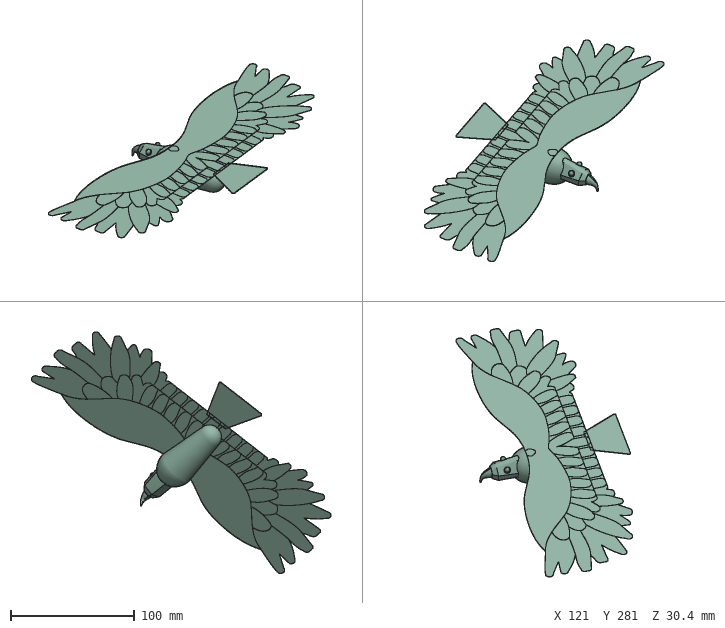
import cadquery as cq


CHEST_RADIUS = 15.2
CHEST_LENGTH = 16.8
RUMP_RADIUS = 10.0
RUMP_X = 39.6

WING_TOP = 15.21
LAYER_STEP = 0.1
BASE_THICKNESS = 0.16
LOW_FEATHER, HIGH_FEATHER, LOW_COVERT, HIGH_COVERT, FOREARM = range(5)
WING_BOTTOM = WING_TOP - BASE_THICKNESS - FOREARM * LAYER_STEP

COVERED_ROOT_X = 14.0
OUTER_ROW_EDGE_X = 50.0
OUTER_ROW_ROOT_X = 20.0
OUTER_ROW_PITCH = 12.05
OUTER_FEATHER_HALF_WIDTH = 4.9
OUTER_TIP_CORNER_X = 45.6
OUTER_TIP_CORNER_INSET = 2.4
OUTER_TIP_BEND_X = 48.4
OUTER_TIP_BEND_INSET = 0.8
OUTER_ROW_HALF_SPAN = 54.4
OUTER_FEATHERS_PER_WING = 4
INNER_ROW_EDGE_X = 38.3
INNER_ROW_PITCH = 12.47
INNER_FEATHERS_PER_WING = 5

TAIL_FRONT_X = 47.7
TAIL_END_X = 78.0
TAIL_FRONT_HALF_WIDTH = 10.3
TAIL_END_HALF_WIDTH = 23.9
TAIL_THICKNESS = 0.6
TAIL_CORNER_RADIUS = 1.2

HEAD_SECTIONS = [
    (-9.0, -9.0, 12.4, 2.8, 11.6, 9.7, 3.1, -0.8, -10.5),
    (-16.3, -12.2, 11.6, 2.7, 10.9, 9.2, 3.1, -1.4, -9.2),
    (-29.3, -29.3, 7.6, 2.5, 7.0, 8.1, 3.1, -2.1, -7.2),
    (-33.5, -33.5, 5.7, 1.8, 5.1, 4.8, 2.4, -2.1, -4.8),
]
BEAK_SECTIONS = [
    (-33.4, 5.3, -33.4, -3.8, 4.0),
    (-38.0, 2.5, -37.0, -3.8, 2.9),
    (-41.8, -1.9, -39.6, -4.0, 1.6),
    (-42.9, -5.6, -40.7, -5.8, 0.9),
    (-42.7, -8.9, -42.0, -8.9, 0.3),
]
EYE_CENTRE = (-21.5, 6.2, 6.4)
EYE_RADIUS = 2.1
SOCKET_CENTRE = (-21.5, 7.1, 7.0)
SOCKET_RADIUS = 3.1


def plate(runs, layer):
    """Flat plate bounded by runs of points: 2 points make a line, 3 an arc, more a curve."""
    outline = cq.Workplane("XY", origin=(0, 0, WING_BOTTOM)).moveTo(*runs[0][0])
    for run in runs:
        if len(run) == 2:
            outline = outline.lineTo(*run[1])
        elif len(run) == 3:
            outline = outline.threePointArc(run[1], run[2])
        else:
            outline = outline.spline(run[1:], includeCurrent=True)
    return outline.close().extrude(BASE_THICKNESS + layer * LAYER_STEP).val()


def shifted(run, dy):
    """The same run of points moved along Y."""
    return [(x, y + dy) for x, y in run]


def forearm():
    """Smooth front of one wing, from the body's centre line to the wing tip."""
    leading = [(-3.9, 0), (-3.9, 4.5), (-7.3, 22.4), (-18.4, 46.9), (-22.6, 65.7),
               (-23.5, 79.8), (-22.2, 96.7), (-18.2, 110.4)]
    trailing = [(-18.2, 110.4), (-8, 91.5), (4.4, 78.8), (9.6, 73.2), (15.7, 62.9), (20.1, 50.2),
                (22.1, 37.5), (21.6, 27.1), (20.1, 16.8), (17.6, 7.4), (15.8, 2.6), (15.2, 0)]
    return plate([leading, trailing], FOREARM)


def primaries():
    """The long finger feathers of one wing tip, from the leading edge backwards."""
    first_pair = plate([
        [(-16, 100), (-18.3, 110.4)],
        [(-18.3, 110.4), (-20.3, 117), (-22.6, 124), (-25.2, 135.8)],
        [(-25.2, 135.8), (-21.9, 138.6), (-18.6, 135.8)],
        [(-18.6, 135.8), (-11.2, 124.2)],
        [(-11.2, 124.2), (-12.5, 136.2)],
        [(-12.5, 136.2), (-9.2, 138.6), (-6.2, 136.7)],
        [(-6.2, 136.7), (0.2, 128.2), (3, 123.1), (6, 112)],
        [(6, 112), (7, 72)],
        [(7, 72), (-6, 78)],
    ], LOW_FEATHER)
    longest = plate([
        [(6.8, 78), (4.4, 101.9), (4.2, 120.2), (3.6, 125), (4.4, 137.2)],
        [(4.4, 137.2), (5, 139.5), (6.8, 140.52)],
        [(6.8, 140.52), (10.8, 140.52)],
        [(10.8, 140.52), (12.2, 139.7), (13, 137.6)],
        [(13, 137.6), (15.2, 128.7), (17.1, 117.4), (15.7, 98.6), (14, 78)],
    ], HIGH_FEATHER)
    second_pair = plate([
        [(12, 110), (16.2, 125.4)],
        [(16.2, 125.4), (18.1, 129.6), (19.3, 132.8), (22.3, 134.5)],
        [(22.3, 134.5), (26.1, 134.5)],
        [(26.1, 134.5), (27.9, 133.7), (28.4, 132)],
        [(28.4, 132), (27.7, 115.5)],
        [(27.7, 115.5), (32.2, 121.7), (40.2, 129.6)],
        [(40.2, 129.6), (44, 130.3), (45.2, 126.2)],
        [(45.2, 126.2), (43.9, 120.2), (41.1, 109.4), (38, 100)],
        [(38, 100), (18, 75)],
    ], LOW_FEATHER)
    third = plate([
        [(18, 84), (20.9, 89.2), (28.4, 98.6), (39.7, 108.5), (49.1, 114.1)],
        [(49.1, 114.1), (53.4, 114.6), (54.6, 111.2)],
        [(54.6, 111.2), (50.5, 102.4), (47.7, 96.7), (41.1, 88.7), (30.8, 79.8), (25, 74)],
    ], HIGH_FEATHER)
    third_pair = plate([
        [(40, 96), (49.1, 99.1)],
        [(49.1, 99.1), (54.7, 99.7)],
        [(54.7, 99.7), (56.6, 98.9), (56.9, 96.7)],
        [(56.9, 96.7), (54.3, 92), (51, 87.1)],
        [(51, 87.1), (54.7, 88.9), (59.5, 89.4)],
        [(59.5, 89.4), (61.8, 86.5), (60.9, 82.6)],
        [(60.9, 82.6), (52.7, 75.6)],
        [(52.7, 75.6), (30, 60)],
        [(30, 60), (24, 76)],
    ], LOW_FEATHER)
    fourth = plate([
        [(30, 71.5), (37.3, 73.4), (47.2, 75.1), (53.5, 75.4), (56.8, 74.6), (57.8, 73)],
        [(57.8, 73), (57.8, 70.6)],
        [(57.8, 70.6), (51, 65.7), (43.5, 61.8), (38.3, 60.5), (34, 60)],
    ], HIGH_FEATHER)
    last = plate([
        [(34, 66), (51.5, 65.7)],
        [(51.5, 65.7), (53.6, 62.1), (52.4, 58.2)],
        [(52.4, 58.2), (48.4, 56.3)],
        [(48.4, 56.3), (OUTER_ROW_EDGE_X, OUTER_ROW_HALF_SPAN)],
        [(OUTER_ROW_EDGE_X, OUTER_ROW_HALF_SPAN), (34, 50)],
    ], LOW_FEATHER)
    return [first_pair, longest, second_pair, third, third_pair, fourth, last]


def coverts():
    """The short feathers that cover the roots of the primaries."""
    first = plate([
        [(-8, 88), (-7.3, 92), (-5.5, 97.7), (-3.6, 100.3), (0.7, 102.2), (4.9, 100)],
        [(4.9, 100), (7.2, 90.1), (6.8, 77.9), (5, 72)],
    ], HIGH_COVERT)
    second = plate([
        [(5, 82), (8.2, 90.1), (11.9, 93.9), (15.7, 95.6), (19.5, 93.9), (21.6, 90.1)],
        [(21.6, 90.1), (20.4, 84.5), (20.6, 80)],
        [(20.6, 80), (6, 70)],
    ], LOW_COVERT)
    third = plate([
        [(8, 70), (10.1, 73.7), (13.8, 78.4), (20.9, 83.7), (26.1, 86.4)],
        [(26.1, 86.4), (30.1, 84.6), (30.8, 80.7)],
        [(30.8, 80.7), (25.6, 71.3), (16.2, 63.6), (13, 61)],
    ], HIGH_COVERT)
    fourth = plate([
        [(24, 76), (31.2, 77.8)],
        [(31.2, 77.8), (34.5, 78.7), (37.3, 76.4), (36.9, 72.7)],
        [(36.9, 72.7), (33, 67)],
        [(33, 67), (14, 60)],
    ], LOW_COVERT)
    return [first, second, third, fourth]


def inner_row():
    """Slanted feathers on the plate nearer the forearm; the last one ends the plate."""
    tip = [(INNER_ROW_EDGE_X, 60.5), (INNER_ROW_EDGE_X, 55.3)]
    upper = [(COVERED_ROOT_X, 54.2), (18.1, 57.2), (22.8, 59.8), (30.3, 62.4), (35.9, 62.4), tip[0]]
    lower = [tip[1], (33.1, 53), (27.5, 50.8), (20.9, 50.3), (COVERED_ROOT_X, 50)]
    last_shift = -(INNER_FEATHERS_PER_WING - 1) * INNER_ROW_PITCH
    last_lower = shifted(lower[:3], last_shift) + [(21.3, 0)]
    backing = plate([
        [(COVERED_ROOT_X, 68), (33, 66.9)],
        [(33, 66.9), (35.9, 66.4), (INNER_ROW_EDGE_X, 64.3)],
        [(INNER_ROW_EDGE_X, 64.3), last_lower[0]],
        last_lower,
        [last_lower[-1], (COVERED_ROOT_X, 0)],
    ], LOW_COVERT)
    feathers = [backing]
    for number in range(INNER_FEATHERS_PER_WING - 1):
        dy = -number * INNER_ROW_PITCH
        feathers.append(plate([shifted(run, dy) for run in (upper, tip, lower)], HIGH_COVERT))
    last_runs = [shifted(upper, last_shift), shifted(tip, last_shift), last_lower]
    last_runs.append([last_lower[-1], (COVERED_ROOT_X, 0)])
    feathers.append(plate(last_runs, HIGH_COVERT))
    return feathers


def mirrored(plates):
    return plates + [piece.mirror("XZ") for piece in plates]


def outer_row():
    """Straight feathers on the rearmost plate, which joins the two wings."""
    half_span = OUTER_ROW_HALF_SPAN
    backing = plate([
        [(COVERED_ROOT_X, -half_span), (OUTER_ROW_EDGE_X, -half_span)],
        [(OUTER_ROW_EDGE_X, -half_span), (OUTER_ROW_EDGE_X, half_span)],
        [(OUTER_ROW_EDGE_X, half_span), (COVERED_ROOT_X, half_span)],
    ], LOW_FEATHER)
    feathers = [backing]
    half = OUTER_FEATHER_HALF_WIDTH
    tip_half = half - OUTER_TIP_CORNER_INSET
    bend_half = half - OUTER_TIP_BEND_INSET
    upper_corner = [(OUTER_TIP_CORNER_X, half), (OUTER_TIP_BEND_X, bend_half), (OUTER_ROW_EDGE_X, tip_half)]
    lower_corner = [(x, -y) for x, y in reversed(upper_corner)]
    for number in range(-OUTER_FEATHERS_PER_WING, OUTER_FEATHERS_PER_WING + 1):
        runs = [
            [(OUTER_ROW_ROOT_X, half), (OUTER_TIP_CORNER_X, half)],
            upper_corner,
            [(OUTER_ROW_EDGE_X, tip_half), (OUTER_ROW_EDGE_X, -tip_half)],
            lower_corner,
            [(OUTER_TIP_CORNER_X, -half), (OUTER_ROW_ROOT_X, -half)],
        ]
        feathers.append(plate([shifted(run, number * OUTER_ROW_PITCH) for run in runs], HIGH_FEATHER))
    return feathers


def tail():
    fan = (
        cq.Workplane("XY", origin=(0, 0, WING_BOTTOM - TAIL_THICKNESS))
        .moveTo(TAIL_FRONT_X, -TAIL_FRONT_HALF_WIDTH)
        .lineTo(TAIL_END_X, -TAIL_END_HALF_WIDTH)
        .lineTo(TAIL_END_X, TAIL_END_HALF_WIDTH)
        .lineTo(TAIL_FRONT_X, TAIL_FRONT_HALF_WIDTH)
        .close()
        .extrude(TAIL_THICKNESS)
    )
    return fan.edges("|Z and >X").fillet(TAIL_CORNER_RADIUS).val()


def body():
    profile = (
        cq.Workplane("XZ")
        .moveTo(RUMP_X + RUMP_RADIUS, 0)
        .radiusArc((RUMP_X, RUMP_RADIUS), -RUMP_RADIUS)
        .lineTo(0, CHEST_RADIUS)
        .ellipseArc(CHEST_LENGTH, CHEST_RADIUS, 90, 180)
        .close()
    )
    return profile.revolve(360, (0, 0, 0), (1, 0, 0)).val()


def head_wire(section):
    x, crown_x, crown, crown_half, crown_edge, cheek_half, cheek_top, cheek_bottom, chin = section
    corners = [
        cq.Vector(crown_x, crown_half, crown_edge),
        cq.Vector(x, cheek_half, cheek_top),
        cq.Vector(x, cheek_half, cheek_bottom),
        cq.Vector(x, 0, chin),
        cq.Vector(x, -cheek_half, cheek_bottom),
        cq.Vector(x, -cheek_half, cheek_top),
        cq.Vector(crown_x, -crown_half, crown_edge),
    ]
    edges = [cq.Edge.makeLine(start, end) for start, end in zip(corners, corners[1:])]
    edges.append(cq.Edge.makeThreePointArc(corners[-1], cq.Vector(crown_x, 0, crown), corners[0]))
    return cq.Wire.assembleEdges(edges)


def beak_wire(section):
    ridge_x, ridge_z, keel_x, keel_z, half_width = section
    side_x = (ridge_x + keel_x) / 2
    side_z = (ridge_z + keel_z) / 2
    ridge = cq.Vector(ridge_x, 0, ridge_z)
    keel = cq.Vector(keel_x, 0, keel_z)
    left = cq.Edge.makeThreePointArc(ridge, cq.Vector(side_x, half_width, side_z), keel)
    right = cq.Edge.makeThreePointArc(keel, cq.Vector(side_x, -half_width, side_z), ridge)
    return cq.Wire.assembleEdges([left, right])


def side_ball(radius, centre, side):
    x, y, z = centre
    return cq.Workplane("XY").sphere(radius).translate((x, side * y, z))


def head():
    skull = cq.Workplane(cq.Solid.makeLoft([head_wire(s) for s in HEAD_SECTIONS], True))
    beak = cq.Workplane(cq.Solid.makeLoft([beak_wire(s) for s in BEAK_SECTIONS]))
    shape = skull.union(beak)
    for side in (-1, 1):
        shape = shape.cut(side_ball(SOCKET_RADIUS, SOCKET_CENTRE, side))
        shape = shape.union(side_ball(EYE_RADIUS, EYE_CENTRE, side))
    return shape


plates = mirrored([forearm()] + primaries() + coverts() + inner_row()) + outer_row()
wings = plates[0].fuse(*plates[1:]).clean()
result = cq.Workplane(body()).union(head()).union(cq.Workplane(wings)).union(cq.Workplane(tail()))